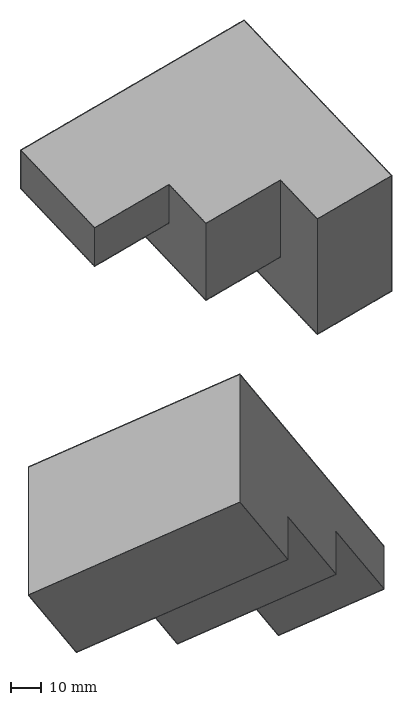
import cadquery as cq

width = 80.0
length = 90.0
height = 60.0

step_count = 3
front_width_in_setbacks = 2
step_depth = length / step_count
step_height = height / step_count
side_setback = width / (front_width_in_setbacks + step_count - 1)


def step_block(index):
    """Block of one step, counted from the front; all share the left and top faces."""
    block_width = (front_width_in_setbacks + index) * side_setback
    block_height = (index + 1) * step_height
    return (
        cq.Workplane("XY")
        .box(block_width, step_depth, block_height, centered=False)
        .translate((0, index * step_depth, height - block_height))
    )


result = step_block(0)
for step_index in range(1, step_count):
    result = result.union(step_block(step_index))
result = result.clean()